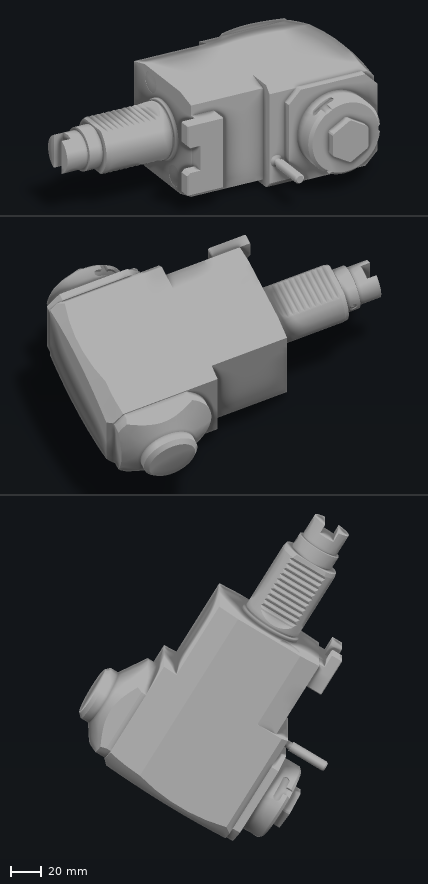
import cadquery as cq
import math


body_half_height = 37.5
head_left = -48.4
head_right = 47.7
head_end = 133.5
head_start = 54.5
neck_half_width = 38.8
bevel_start = 24.0
bevel_slope = math.tan(math.radians(15))
head_right_chamfer = 4.7
head_left_chamfer = 3.5
swing_center_x = 9.5
swing_radius = 129.3
plug_x = 16.0
plug_z = 27.7
plug_radius = 7.5
plug_recess = 0.2

spindle_y = 99.7
plate_right = 53.2
plate_size = 67.3
plate_corner = 9.2
nut_right = 70.3
nut_radius = 27.3
nut_chamfer = 2.1
hex_right = 76.9
hex_across_flats = 26.8
hex_corner_radius = 15.1

slot_count = 3
slot_left = 59.9
slot_width = 5.1
slot_length = 17.9
slot_floor_radius = 24.7
channel_width = 5.1

cap_left = -76.5
cap_neck = -68.0
cap_shoulder = -55.5
cap_flat_start = -51.8
cap_small_radius = 19.4
cap_chamfer = 2.8
cap_radius = 37.5
cap_flat_offset = 29.8

tube_y = 59.6
tube_z = -17.3
tube_radius = 3.5
tube_neck_radius = 2.5
tube_base_radius = 4.3
tube_tip_radius = 2.5
tube_neck_left = 49.2
tube_left = 53.2
tube_shoulder = 79.2
tube_right = 80.3

collar_length = 2.5
collar_rounding = 0.9
collar_radius = 21.5
relief_radius = 19.4
shank_start = 3.8
shank_radius = 20.0
shank_end = 53.2
shank_chamfer_length = 3.0
shank_chamfer = 0.6
flat_height = 15.8
flat_ramp_start = 5.0
tooth_pitch = 4.0
tooth_count = 10
first_tooth = 12.0
tooth_depth = 1.3
groove_half_width = 1.7

drive_gap = 0.6
drive_gap_radius = 14.5
drive_collar_radius = 15.1
drive_collar_end = 63.5
drive_groove_length = 0.6
drive_groove_radius = 12.5
drive_radius = 13.2
drive_end = 79.5
drive_slot_width = 10.6
drive_slot_depth = 6.8
screw_hole_y = 58.5
screw_hole_radius = 2.8
screw_hole_depth = 1.0
socket_across_corners = 3.2
socket_depth = 2.1

key_right = 51.1
key_top = 17.9
key_half_height = 26.0
key_chamfer = 0.6
key_bridge_inset = 0.2
key_seat_inset = 0.5
finger_left = 43.2
finger_end = 9.5
finger_gap = 18.3
finger_gap_flare = 2.1


def bevel_height(x):
    """Height of the sloping top face at a given X."""
    return body_half_height - bevel_slope * (abs(x) - bevel_start)


def box(x0, x1, y0, y1, z0, z1):
    return cq.Workplane("XY").box(x1 - x0, y1 - y0, z1 - z0, centered=False).translate((x0, y0, z0))


def turned_x(points, y, z):
    """Solid turned about an axis parallel to X from (x, radius) points."""
    profile = cq.Workplane("XY").polyline(points).close()
    return profile.revolve(360, (0, 0, 0), (1, 0, 0)).translate((0, y, z))


def section_along_y(upper, y0, y1):
    """Prism along Y whose (x, z) section mirrors the upper points about Z = 0."""
    lower = [(x, -z) for x, z in reversed(upper)]
    return cq.Workplane("XZ").polyline(upper + lower).close().extrude(-(y1 - y0)).translate((0, y0, 0))


def make_body():
    head = section_along_y([
        (head_left, bevel_height(head_left)),
        (-bevel_start, body_half_height),
        (head_right - head_right_chamfer, body_half_height),
        (head_right, body_half_height - head_right_chamfer),
    ], head_start, head_end)
    head = head.faces(">Y").edges("<X").chamfer(head_left_chamfer)
    neck = section_along_y([
        (-neck_half_width, bevel_height(neck_half_width)),
        (-bevel_start, body_half_height),
        (bevel_start, body_half_height),
        (neck_half_width, bevel_height(neck_half_width)),
    ], 0, head_start)
    middle_radius = swing_radius + body_half_height
    swing = (
        cq.Workplane("XZ")
        .polyline([
            (0, -body_half_height),
            (swing_radius, -body_half_height),
            (middle_radius, 0),
            (swing_radius, body_half_height),
            (0, body_half_height),
        ])
        .close()
        .revolve(360, (0, 0, 0), (0, 1, 0))
        .translate((swing_center_x, 0, 0))
    )
    body = head.union(neck).intersect(swing)
    for side in (-1, 1):
        plug = cq.Workplane("XZ").center(side * plug_x, -side * plug_z).circle(plug_radius)
        body = body.cut(plug.extrude(-plug_recess))
    return body


def make_cap():
    cap = turned_x([
        (head_left, 0),
        (cap_left, 0),
        (cap_left, cap_small_radius - cap_chamfer),
        (cap_left + cap_chamfer, cap_small_radius),
        (cap_neck, cap_small_radius),
        (cap_shoulder, cap_radius),
        (head_left, cap_radius),
    ], spindle_y, 0)
    flat_height_at_body = bevel_height(cap_flat_start)
    envelope = section_along_y([
        (cap_left, bevel_height(cap_left)),
        (cap_flat_start, flat_height_at_body),
        (head_left, flat_height_at_body),
    ], spindle_y - cap_radius, spindle_y + cap_flat_offset)
    return cap.intersect(envelope)


def make_nut():
    nut = turned_x([
        (plate_right, 0),
        (plate_right, nut_radius),
        (nut_right - nut_chamfer, nut_radius),
        (nut_right, nut_radius - nut_chamfer),
        (nut_right, 0),
    ], 0, 0)
    slot_middle = slot_left + slot_width / 2
    slot_plane = cq.Workplane("XZ", origin=(slot_middle, slot_floor_radius, 0))
    slot = slot_plane.slot2D(slot_length, slot_width, 90).extrude(slot_floor_radius - nut_radius)
    half_channel = channel_width / 2
    channel = box(slot_middle, nut_right, slot_floor_radius, nut_radius, -half_channel, half_channel)
    slot = slot.union(channel)
    for index in range(slot_count):
        nut = nut.cut(slot.rotate((0, 0, 0), (1, 0, 0), index * 360 / slot_count))
    return nut.translate((0, spindle_y, 0))


def make_spindle_front():
    plate = (
        cq.Workplane("YZ", origin=(head_right, spindle_y, 0))
        .rect(plate_size, plate_size)
        .extrude(plate_right - head_right)
        .edges("|X")
        .chamfer(plate_corner)
    )
    hex_face = cq.Workplane("YZ", origin=(nut_right, spindle_y, 0))
    hex_length = hex_right - nut_right
    corner_diameter = hex_across_flats / math.cos(math.radians(30))
    hexagon = hex_face.transformed(rotate=(0, 0, 30)).polygon(6, corner_diameter).extrude(hex_length)
    hexagon = hexagon.intersect(hex_face.circle(hex_corner_radius).extrude(hex_length))
    return plate.union(make_nut()).union(hexagon)


def make_tube():
    return turned_x([
        (head_right, 0),
        (head_right, tube_base_radius),
        (tube_neck_left, tube_neck_radius),
        (tube_left, tube_neck_radius),
        (tube_left, tube_radius),
        (tube_shoulder, tube_radius),
        (tube_right, tube_tip_radius),
        (tube_right, 0),
    ], tube_y, tube_z)


def make_shank():
    chamfer_start = shank_end - shank_chamfer_length
    collar_round_start = collar_length - collar_rounding
    drive_groove_end = drive_collar_end + drive_groove_length
    drive_collar_start = shank_end + drive_gap
    shank = (
        cq.Workplane("XY")
        .lineTo(collar_radius, 0)
        .lineTo(collar_radius, -collar_round_start)
        .radiusArc((collar_radius - collar_rounding, -collar_length), collar_rounding)
        .lineTo(relief_radius, -collar_length)
        .lineTo(relief_radius, -shank_start)
        .lineTo(shank_radius, -shank_start)
        .lineTo(shank_radius, -chamfer_start)
        .lineTo(shank_radius - shank_chamfer, -shank_end)
        .lineTo(drive_gap_radius, -shank_end)
        .lineTo(drive_gap_radius, -drive_collar_start)
        .lineTo(drive_collar_radius, -drive_collar_start)
        .lineTo(drive_collar_radius, -drive_collar_end)
        .lineTo(drive_groove_radius, -drive_collar_end)
        .lineTo(drive_groove_radius, -drive_groove_end)
        .lineTo(drive_radius, -drive_groove_end)
        .lineTo(drive_radius, -drive_end)
        .lineTo(0, -drive_end)
        .close()
        .revolve(360, (0, 0, 0), (0, 1, 0))
    )
    toothing = make_toothing_cutter()
    shank = shank.cut(toothing).cut(toothing.mirror("XY"))
    half_slot = drive_slot_width / 2
    shank = shank.cut(
        box(-half_slot, half_slot, -drive_end, drive_slot_depth - drive_end, -drive_radius, drive_radius)
    )
    screw_face = cq.Workplane("YZ", origin=(-drive_collar_radius, -screw_hole_y, 0))
    screw_hole = screw_face.circle(screw_hole_radius).extrude(screw_hole_depth)
    socket = screw_face.polygon(6, socket_across_corners).extrude(screw_hole_depth + socket_depth)
    return shank.cut(screw_hole).cut(socket)


def make_toothing_cutter():
    """Material above the upper flat: a 45 degree ramp and a row of V grooves."""
    top = collar_radius
    ramp_end = flat_ramp_start + shank_radius - flat_height
    ramp_top = ramp_end - (top - flat_height)
    outline = [(-ramp_top, top), (-ramp_end, flat_height)]
    for index in range(tooth_count):
        groove_y = -(first_tooth + index * tooth_pitch)
        outline += [
            (groove_y + groove_half_width, flat_height),
            (groove_y, flat_height - tooth_depth),
            (groove_y - groove_half_width, flat_height),
        ]
    outline += [(-shank_end, flat_height), (-shank_end, top)]
    return cq.Workplane("YZ").polyline(outline).close().extrude(shank_radius, both=True)


def make_key():
    key = box(neck_half_width, key_right, -finger_end, key_top, -key_half_height, key_half_height)
    key = key.edges("|X").chamfer(key_chamfer).faces(">X").chamfer(key_chamfer)
    half_gap = finger_gap / 2
    half_mouth = half_gap + finger_gap_flare
    flare_start = finger_gap_flare - finger_end
    gap = (
        cq.Workplane("YZ", origin=(neck_half_width, 0, 0))
        .polyline([
            (key_bridge_inset, -half_gap),
            (flare_start, -half_gap),
            (-finger_end, -half_mouth),
            (-finger_end, half_mouth),
            (flare_start, half_gap),
            (key_bridge_inset, half_gap),
        ])
        .close()
        .extrude(key_right - neck_half_width)
    )
    key = key.cut(gap)
    for z0, z1 in ((-key_half_height, -half_gap), (half_gap, key_half_height)):
        key = key.cut(box(neck_half_width, finger_left, -finger_end, key_seat_inset, z0, z1))
    return key


result = (
    make_body()
    .union(make_cap())
    .union(make_spindle_front())
    .union(make_tube())
    .union(make_shank())
    .union(make_key())
)